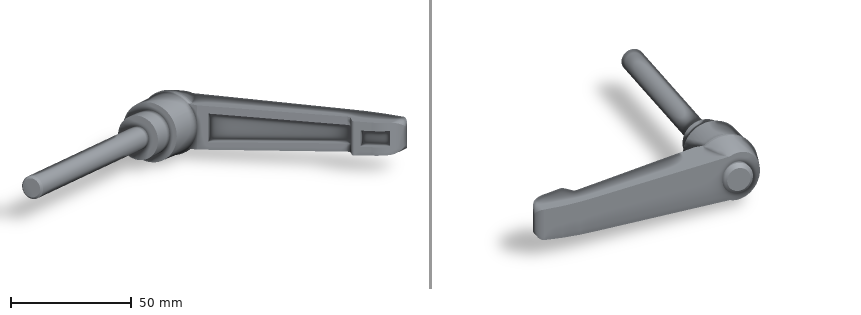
import cadquery as cq
import math


stud_diameter = 10.0
stud_tip_y = -99.9
stud_chamfer = 0.9
sleeve_diameter = 19.0
sleeve_length = 10.0
head_radius = 6.8
head_top_y = 33.4
head_chamfer = 1.7

skirt_bottom_radius = 12.8
skirt_middle_radius = 13.0
skirt_top_radius = 13.3
skirt_height = 16.2
rim_radius = 13.7
rim_bottom_y = 16.9
rim_top_y = 18.1
dome_mid = (11.5, 27.2)
dome_end = (9.0, 34.7)

top_slope = 0.26
top_y_at_axis = 30.14
back_start_x = 67.2
back_end_x = 92.2
lever_top_y = 151 + stud_tip_y
tip_x = 95.0
tip_y = 47.6
belly_mid = (91.93, 39.9)
belly_end = (85.4, 36.0)
hook_point = (77.8, 33.1)
hook_radius = 1.2
notch_x = 74.2
notch_y = 37.8
notch_flat = 1.2
lever_root_x = 13.3

half_width_at_axis = 10.0
half_width_at_tip = 6.8
tip_corner_radius = 3.0

grip_pocket_start_x = 17.7
grip_pocket_depth = 6.0
grip_pocket_end_x = 74.6
grip_pocket_half_widths = (6.2, 4.0)
hook_pocket_start_x = 81.0
hook_pocket_end_x = 92.5
hook_pocket_depth = 6.8
hook_pocket_half_width = 3.5
pocket_floor_radius = 0.9

underside_slope = (notch_y - skirt_height) / (notch_x - notch_flat - lever_root_x)
underside_angle = math.atan(underside_slope)


def top_y(x):
    """Height of the straight upper face of the lever at x."""
    return top_y_at_axis + top_slope * x


def cylinder(radius, start_y, end_y):
    """Cylinder on the clamping axis."""
    return cq.Workplane("XZ", origin=(0, start_y, 0)).circle(radius).extrude(start_y - end_y)


def make_hub():
    profile = (
        cq.Workplane("XY")
        .lineTo(skirt_bottom_radius, 0)
        .threePointArc((skirt_middle_radius, skirt_height / 2), (skirt_top_radius, skirt_height))
        .lineTo(rim_radius, rim_bottom_y)
        .lineTo(rim_radius, rim_top_y)
        .threePointArc(dome_mid, dome_end)
        .lineTo(0, dome_end[1])
        .close()
    )
    hub = profile.revolve(360, (0, 0, 0), (0, 1, 0))
    reach = 2 * rim_radius
    above_lever = (
        cq.Workplane("XY")
        .moveTo(-reach, top_y(-reach))
        .lineTo(reach, top_y(reach))
        .lineTo(reach, top_y(reach) + reach)
        .lineTo(-reach, top_y(reach) + reach)
        .close()
        .extrude(reach, both=True)
    )
    return hub.cut(above_lever)


def make_lever():
    side = (
        cq.Workplane("XY")
        .moveTo(0, skirt_height)
        .lineTo(lever_root_x, skirt_height)
        .lineTo(notch_x - notch_flat, notch_y)
        .lineTo(notch_x, notch_y)
        .lineTo(*hook_point)
        .lineTo(*belly_end)
        .threePointArc(belly_mid, (tip_x, tip_y))
        .tangentArcPoint((back_end_x, lever_top_y), relative=False)
        .threePointArc(
            ((back_start_x + back_end_x) / 2, lever_top_y - (lever_top_y - top_y(back_start_x)) / 4),
            (back_start_x, top_y(back_start_x)),
        )
        .lineTo(0, top_y_at_axis)
        .close()
        .extrude(half_width_at_axis, both=True)
    )
    side = side.edges(cq.selectors.NearestToPointSelector((*hook_point, 0))).fillet(hook_radius)
    plan = (
        cq.Workplane("XZ")
        .polyline([
            (0, -half_width_at_axis),
            (tip_x, -half_width_at_tip),
            (tip_x, half_width_at_tip),
            (0, half_width_at_axis),
        ])
        .close()
        .extrude(-2 * lever_top_y)
        .edges("|Y and >X")
        .fillet(tip_corner_radius)
    )
    return side.intersect(plan)


def make_pocket(start, length, depth, half_widths):
    """Pocket square to the underside, rounded at the far end of its floor.

    start is the middle of its inner mouth edge in XY; half_widths are at the inner and far ends.
    """
    along = (math.cos(underside_angle), math.sin(underside_angle), 0)
    outward = (along[1], -along[0], 0)
    mouth = cq.Workplane(cq.Plane(origin=(*start, 0), xDir=along, normal=outward))
    root, end = half_widths
    outline = [(0, -root), (length, -end), (length, end), (0, root)]
    overshoot = depth
    pocket = mouth.workplane(offset=-depth).polyline(outline).close().extrude(depth + overshoot)
    far_floor_point = tuple(
        origin + length * step - depth * rise for origin, step, rise in zip((*start, 0), along, outward)
    )
    far_floor_edge = cq.selectors.NearestToPointSelector(far_floor_point)
    return pocket.edges(far_floor_edge).fillet(pocket_floor_radius)


def make_grip_pocket():
    start_y = skirt_height + underside_slope * (grip_pocket_start_x - lever_root_x)
    length = (grip_pocket_end_x - grip_pocket_start_x) / math.cos(underside_angle)
    start = (grip_pocket_start_x, start_y)
    return make_pocket(start, length, grip_pocket_depth, grip_pocket_half_widths)


def make_hook_pocket():
    hook_slope = (belly_end[1] - hook_point[1]) / (belly_end[0] - hook_point[0])
    start_y = hook_point[1] + hook_slope * (hook_pocket_start_x - hook_point[0])
    length = (hook_pocket_end_x - hook_pocket_start_x) / math.cos(underside_angle)
    start = (hook_pocket_start_x, start_y)
    return make_pocket(start, length, hook_pocket_depth, (hook_pocket_half_width, hook_pocket_half_width))


stud = cylinder(stud_diameter / 2, -sleeve_length, stud_tip_y).faces("<Y").chamfer(stud_chamfer)
sleeve = cylinder(sleeve_diameter / 2, 0, -sleeve_length)
head = cylinder(head_radius, head_top_y, skirt_height).faces(">Y").chamfer(head_chamfer)
lever = make_lever().cut(make_grip_pocket()).cut(make_hook_pocket())

result = make_hub().union(lever).union(head).union(sleeve).union(stud)